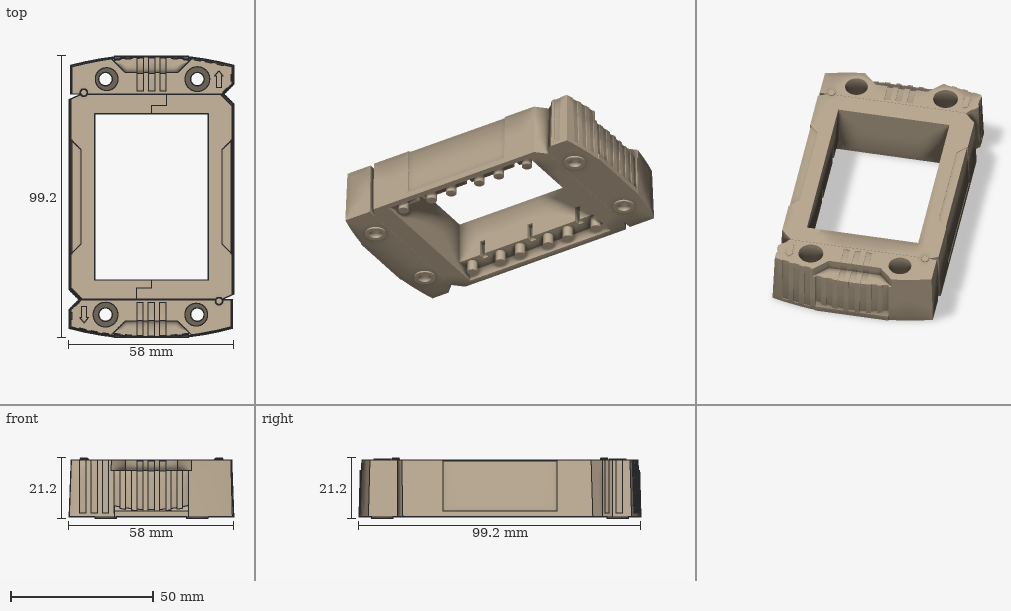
import cadquery as cq


height = 20.0
width = 58.0
half_width = width / 2
half_length = 49.6
side_draft = 0.74
end_draft = 0.55

window_x = 19.9
window_y = 29.3
split_step_y = 32.1
split_overlap = 5.3
tongue_reach = 2.7
tongue_height = 2.7
tongue_top = height - 3.5

arm_split_y = 36.1
slit_width = 0.1
frame_y = arm_split_y - slit_width / 2
hinge_slope_x = -25.0
hinge_slope_y = 34.2
hinge_slope = (frame_y - hinge_slope_y) / (half_width + hinge_slope_x)
frame_chamfer = 3.4
frame_chamfer_draft = 0.6

panel_half_length = 20.0
panel_bottom = 2.1
panel_inner_x = -24.9
panel_depth = 0.3

recess_height = 4.0
recess_outer_x = 26.7
peg_diameter = 3.7
peg_x = 22.7
peg_offset = 5.9
slot_pitch = 19.8
slot_width = 2.1
slot_depth = 2.5
slot_top = recess_height + 5.7

arm_y = arm_split_y + slit_width / 2
arm_hinge_x = 28.5
arm_corner_y = 46.3
arm_apex_y = 50.1
clear_y = arm_apex_y + 1.0
notch_y = 39.7
notch_length = notch_y - arm_y

pin_x = -23.8
pin_y = 36.7
pin_diameter = 2.7
pin_rise = 0.6
pin_chamfer = 0.2

screw_x = 16.2
screw_y = 41.4
screw_diameter = 4.7
bore_floor = 4.0
hinge_bore_x = 15.8
hinge_bore_diameter = 8.0
latch_bore_diameter = 8.7
foot_diameter = 7.5
foot_height = 0.6

pocket_depth = 3.7
pocket_floor = height - pocket_depth
pocket_back_y = 43.7
pocket_back_half = 9.2
grip_half = 13.1
grip_depth = 0.45
lip_height = 2.0
lip_rise = 2.0
lip_run = 1.2

groove_depth = 0.3
groove_width = 2.2
groove_count = 10
groove_span = 36.2
groove_pitch = groove_span / (groove_count - 1)
first_groove_x = -12.0
groove_bottom = 1.3
side_groove_y = (40.8, 43.1)
notch_groove_y = (36.9, 38.4)
top_groove_start_y = 37.2
top_groove_reach = 1.5 * groove_pitch

arrow_x = 23.7
arrow_tip_y = 44.3
arrow_head_y = 42.5
arrow_tail_y = 38.6
arrow_head_half = 1.5
arrow_shaft_half = 0.9
arrow_rise = 0.3


def box(x, y, z):
    """Box between the two limits given for each axis."""
    size = (x[1] - x[0], y[1] - y[0], z[1] - z[0])
    return cq.Workplane("XY").box(*size, centered=False).translate((x[0], y[0], z[0]))


def cylinder(x, y, diameter, z):
    """Upright cylinder between the two heights in z."""
    return cq.Workplane("XY", origin=(x, y, z[0])).circle(diameter / 2).extrude(z[1] - z[0])


def drafted(outline):
    """Solid between an outline at the bottom and its drafted form at the top."""
    wires = [outline(0.0).val(), outline(1.0).val().translate(cq.Vector(0, 0, height))]
    return cq.Workplane(cq.Solid.makeLoft(wires, True))


def frame_outline(rise):
    """C-shaped outline at a fraction of the height."""
    side = -half_width + side_draft * rise
    chamfer = frame_chamfer + frame_chamfer_draft * rise
    slope_end_y = frame_y - hinge_slope * (hinge_slope_x - side)
    return cq.Workplane("XY").polyline([
        (side, slope_end_y),
        (side, -frame_y + chamfer),
        (side + chamfer, -frame_y),
        (-split_overlap, -frame_y),
        (-split_overlap, -split_step_y),
        (0, -split_step_y),
        (0, -window_y),
        (-window_x, -window_y),
        (-window_x, window_y),
        (0, window_y),
        (0, split_step_y),
        (split_overlap, split_step_y),
        (split_overlap, frame_y),
        (hinge_slope_x, frame_y),
    ]).close().wire()


def arm_outline(rise, inset=0.0):
    """Latch arm outline at a fraction of the height, its outer faces moved in by inset."""
    hinge_side = -arm_hinge_x + end_draft * rise + inset
    latch_side = half_width - side_draft * rise - inset
    end_shift = end_draft * rise + inset
    return (
        cq.Workplane("XY")
        .moveTo(hinge_side, arm_y)
        .lineTo(hinge_side, arm_corner_y - end_shift)
        .threePointArc((0, arm_apex_y - end_shift), (latch_side, arm_corner_y - end_shift))
        .lineTo(latch_side, notch_y)
        .lineTo(latch_side - notch_length, arm_y)
        .close()
        .wire()
    )


def split_tongue(side):
    """Tongue across the split, on the +Y (side = 1) or -Y (side = -1) bar."""
    y = sorted((side * window_y, side * split_step_y))
    x = sorted((0, -side * tongue_reach))
    return box(x, y, (tongue_top - tongue_height, tongue_top))


def label_panel():
    """Sunk panel that wraps from the leg's side onto its top."""
    def side_x(z):
        return -half_width + side_draft * z / height

    side = cq.Workplane("XZ").polyline([
        (-half_width, panel_bottom),
        (side_x(panel_bottom) + panel_depth, panel_bottom),
        (side_x(height) + panel_depth, height),
        (-half_width, height),
    ]).close().extrude(panel_half_length, both=True)
    corner = panel_inner_x - side_x(height)
    outer_x = side_x(height) - corner
    outer_y = panel_half_length + corner
    inner_y = panel_half_length - corner
    top = (
        cq.Workplane("XY", origin=(0, 0, height - panel_depth))
        .polyline([
            (outer_x, -outer_y),
            (panel_inner_x, -inner_y),
            (panel_inner_x, inner_y),
            (outer_x, outer_y),
        ])
        .close()
        .extrude(panel_depth)
        .intersect(box((outer_x, panel_inner_x), (-panel_half_length, panel_half_length), (0, height)))
    )
    return side.union(top)


def make_frame():
    """C-shaped half of the frame with its underside recess, slots and pegs."""
    frame = drafted(frame_outline)
    frame = frame.cut(split_tongue(1)).union(split_tongue(-1))
    frame = frame.cut(label_panel())
    frame = frame.cut(box((-recess_outer_x, -window_x), (-window_y, window_y), (0, recess_height)))
    for position in (-1, 0, 1):
        slot_y = position * slot_pitch
        slot_range = (slot_y - slot_width / 2, slot_y + slot_width / 2)
        frame = frame.cut(box((-window_x - slot_depth, -window_x), slot_range, (0, slot_top)))
        for peg_side in (-1, 1):
            peg_y = slot_y + peg_side * peg_offset
            frame = frame.union(cylinder(-peg_x, peg_y, peg_diameter, (0, recess_height)))
    return frame


def thumb_pocket():
    """Trapezoid pocket that opens at 45 degrees toward the end of the arm."""
    depth = half_length - pocket_back_y
    mouth_half = pocket_back_half + depth
    return (
        cq.Workplane("XY", origin=(0, 0, pocket_floor))
        .polyline([
            (-pocket_back_half, pocket_back_y),
            (pocket_back_half, pocket_back_y),
            (mouth_half, half_length),
            (-mouth_half, half_length),
        ])
        .close()
        .extrude(pocket_depth)
    )


def arm_skin(depth):
    """Layer of the given depth below the arm's outer faces."""
    return drafted(arm_outline).cut(drafted(lambda rise: arm_outline(rise, depth)))


def cut_grip(arm):
    """Sunk grip face on the curved end, and grooves on the end, latch side, notch and top."""
    grip_face = box((-grip_half, grip_half), (pocket_back_y, clear_y), (0, height))
    arm = arm.cut(arm_skin(grip_depth).intersect(grip_face))

    shallow_skin = arm_skin(groove_depth)
    deep_skin = arm_skin(grip_depth + groove_depth)
    groove_z = (groove_bottom, height)
    latch_x = (half_width - side_draft - notch_length, half_width)
    for groove_y in (side_groove_y, notch_groove_y):
        arm = arm.cut(shallow_skin.intersect(box(latch_x, groove_y, groove_z)))
    for index in range(groove_count):
        middle = first_groove_x + index * groove_pitch
        groove_x = (middle - groove_width / 2, middle + groove_width / 2)
        skin = deep_skin if abs(middle) < grip_half else shallow_skin
        arm = arm.cut(skin.intersect(box(groove_x, (pocket_back_y, clear_y), groove_z)))
        if abs(middle) < top_groove_reach:
            top_y = (top_groove_start_y, half_length)
            arm = arm.cut(box(groove_x, top_y, (height - groove_depth, height)))
            floor_y = (pocket_back_y - groove_depth, half_length)
            arm = arm.cut(box(groove_x, floor_y, (pocket_floor - groove_depth, height)))
    return arm


def end_lip():
    """Straight lip along the foot of the curved end, with a sloped upper face."""
    return (
        cq.Workplane("YZ")
        .polyline([
            (pocket_back_y, 0),
            (half_length, 0),
            (half_length, lip_height),
            (half_length - lip_run, lip_height + lip_rise),
            (pocket_back_y, lip_height + lip_rise),
        ])
        .close()
        .extrude(grip_half, both=True)
    )


def arrow():
    """Raised arrow that points toward the end of the arm."""
    return (
        cq.Workplane("XY", origin=(arrow_x, 0, height))
        .polyline([
            (0, arrow_tip_y),
            (arrow_head_half, arrow_head_y),
            (arrow_shaft_half, arrow_head_y),
            (arrow_shaft_half, arrow_tail_y),
            (-arrow_shaft_half, arrow_tail_y),
            (-arrow_shaft_half, arrow_head_y),
            (-arrow_head_half, arrow_head_y),
        ])
        .close()
        .extrude(arrow_rise)
    )


def make_arm():
    """Latch arm with grip, screw holes and feet."""
    arm = cut_grip(drafted(arm_outline).cut(thumb_pocket()))
    arm = arm.cut(box((-half_width, half_width), (half_length, clear_y), (0, height)))
    arm = arm.union(end_lip()).union(arrow())
    bores = ((-hinge_bore_x, hinge_bore_diameter), (screw_x, latch_bore_diameter))
    for bore_x, bore_diameter in bores:
        arm = arm.cut(cylinder(bore_x, screw_y, bore_diameter, (bore_floor, height)))
    for x in (-screw_x, screw_x):
        arm = arm.union(cylinder(x, screw_y, foot_diameter, (-foot_height, 0)))
        arm = arm.cut(cylinder(x, screw_y, screw_diameter, (-foot_height, height)))
    return arm


def make_half():
    """One half: frame and latch arm joined along the hinge pin."""
    pin = cylinder(pin_x, pin_y, pin_diameter, (0, height + pin_rise))
    pin = pin.faces(">Z").chamfer(pin_chamfer)
    return make_frame().union(make_arm()).union(pin)


left_half = make_half()
right_half = left_half.rotate((0, 0, 0), (0, 0, 1), 180)

result = cq.Compound.makeCompound([left_half.solids().val(), right_half.solids().val()])